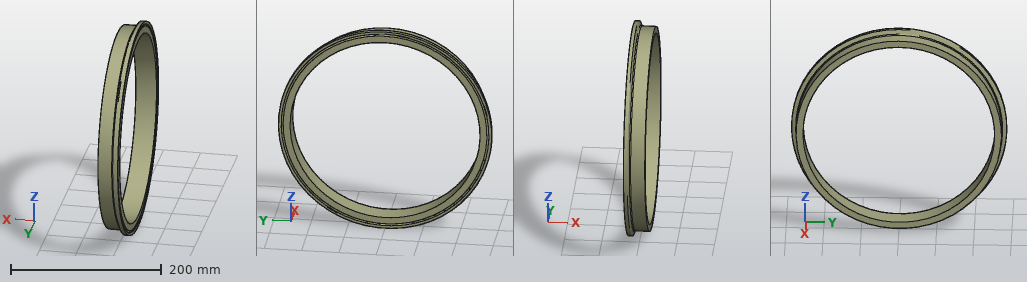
import cadquery as cq
import math

length = 28.0
flange_radius = 143.0
tube_radius = 136.5
bore_radius = 127.3

rim_width = 5.7
clamp_angle = 20.0
rim_fillet = 1.0
root_fillet = 1.7

groove_radius = 138.0
groove_width = 3.0
groove_depth = 1.5
groove_lip_fillet = 1.0

clamp_run = (flange_radius - tube_radius) * math.tan(math.radians(clamp_angle))
clamp_end = rim_width + clamp_run


def revolve_about_x(profile):
    return profile.revolve(360, (0, 0, 0), (1, 0, 0))


def ring_edges(x, radius):
    """Select the circular edges at the given place and radius."""
    margin = 0.03
    outer = cq.selectors.BoxSelector(
        (x - margin, -radius - margin, -radius - margin),
        (x + margin, radius + margin, radius + margin),
        boundingbox=True,
    )
    inner_radius = radius - margin
    inner = cq.selectors.BoxSelector(
        (x - margin, -inner_radius, -inner_radius),
        (x + margin, inner_radius, inner_radius),
        boundingbox=True,
    )
    return outer - inner


def make_body():
    profile = (
        cq.Workplane("XZ")
        .moveTo(0, bore_radius)
        .lineTo(0, flange_radius)
        .lineTo(rim_width, flange_radius)
        .lineTo(clamp_end, tube_radius)
        .lineTo(length, tube_radius)
        .lineTo(length, bore_radius)
        .close()
    )
    body = revolve_about_x(profile)
    body = body.edges(ring_edges(rim_width, flange_radius)).fillet(rim_fillet)
    return body.edges(ring_edges(clamp_end, tube_radius)).fillet(root_fillet)


def cut_gasket_groove(body):
    inner_edge = groove_radius - groove_width / 2
    outer_edge = groove_radius + groove_width / 2
    profile = (
        cq.Workplane("XZ")
        .moveTo(0, inner_edge)
        .threePointArc((groove_depth, groove_radius), (0, outer_edge))
        .close()
    )
    body = body.cut(revolve_about_x(profile))
    for edge_radius in (inner_edge, outer_edge):
        body = body.edges(ring_edges(0, edge_radius)).fillet(groove_lip_fillet)
    return body


result = cut_gasket_groove(make_body())